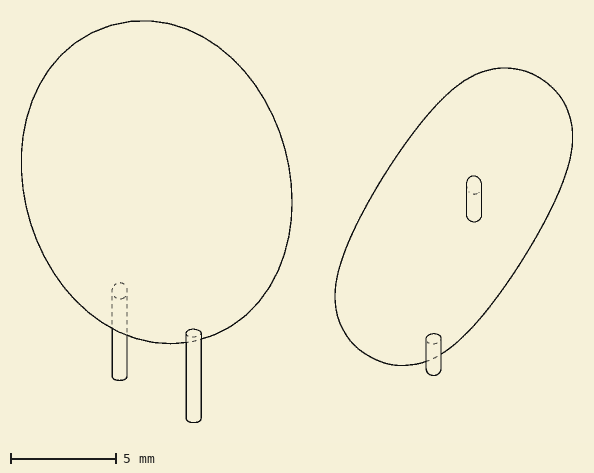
import cadquery as cq

body_diameter = 15.5
body_thickness = 5.9
rim_band_width = 0.15
rim_radius = (body_thickness - rim_band_width) / 2

lead_diameter = 0.72
lead_pitch_x = 7.5
lead_pitch_y = 2.7
lead_tip_radius = lead_diameter / 4

overall_height = 18.53
lead_bottom_z = body_diameter / 2 - overall_height
lead_top_z = -body_diameter / 4


def make_body():
    """Disc with both rims rounded down to a narrow band at mid-thickness."""
    disc = cq.Workplane("XZ").circle(body_diameter / 2).extrude(body_thickness / 2, both=True)
    return disc.faces("<Y or >Y").edges().fillet(rim_radius)


def make_lead(x, y):
    """Straight round wire with a rounded lower tip."""
    wire = (
        cq.Workplane("XY", origin=(x, y, lead_bottom_z))
        .circle(lead_diameter / 2)
        .extrude(lead_top_z - lead_bottom_z)
    )
    return wire.faces("<Z").edges().fillet(lead_tip_radius)


result = make_body()
for side in (-1, 1):
    result = result.union(make_lead(side * lead_pitch_x / 2, -side * lead_pitch_y / 2))